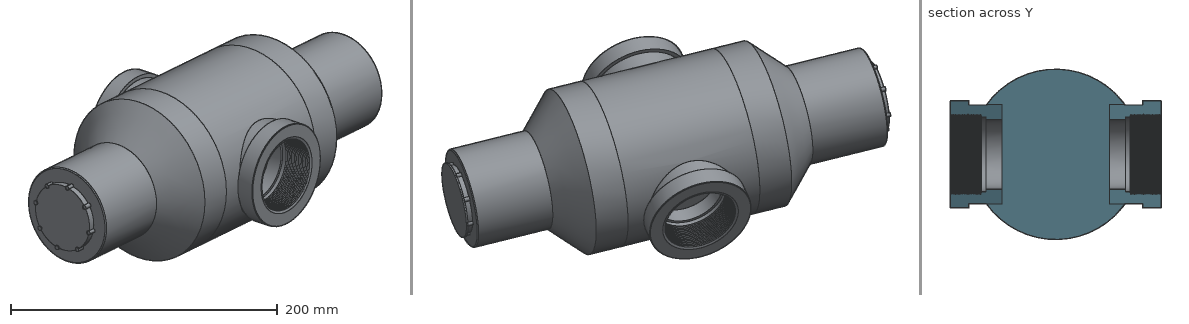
import cadquery as cq
total_length = 336.8
port_span = 158.5

barrel_diameter = 128.0
barrel_length = 104.5

collar_length = 25.3
cone_length = 25.5
neck_diameter = 76.0
neck_end_chamfer = 0.85
plug_height = 5.7

plug_diameter = 52.5
lug_diameter = 3.5
core_setback = 0.7
lug_count = 8
front_lug_turn = 11.0
rim_diameter = 57.5
rim_thickness = 1.5

port_diameter = 74.5
flange_diameter = 80.5
flange_length = 14.0
flange_chamfer = 0.5
port_bore_diameter = 52.2
thread_minor_diameter = 56.0
thread_major_diameter = 60.0
thread_pitch = 1.5
thread_count = 17
thread_runout = 4.0
port_seat = 40.5

barrel_end = barrel_length / 2
cone_start = barrel_end + collar_length
neck_start = cone_start + cone_length
neck_end = total_length / 2 - plug_height
port_end = port_span / 2
flange_start = port_end - flange_length

SIDES = (-1, 1)


def cylinder_y(diameter, start, end):
    """Cylinder on the Y axis between two places."""
    return cq.Workplane("XZ", origin=(0, start, 0)).circle(diameter / 2).extrude(start - end)


def cylinder_x(diameter, start, end):
    """Cylinder on the X axis between two places."""
    return cq.Workplane("YZ", origin=(start, 0, 0)).circle(diameter / 2).extrude(end - start)


def make_barrel():
    """Central cylinder with a flat-bottomed seat for each side port."""
    barrel = cylinder_y(barrel_diameter, -barrel_end, barrel_end)
    for side in SIDES:
        barrel = barrel.cut(cylinder_x(port_diameter, side * port_seat, side * port_end))
    return barrel


def make_reducer(side):
    """Collar, cone and neck turned about the Y axis, on one end of the barrel."""
    barrel_radius = barrel_diameter / 2
    neck_radius = neck_diameter / 2
    profile = [
        (0, barrel_end),
        (barrel_radius, barrel_end),
        (barrel_radius, cone_start),
        (neck_radius, neck_start),
        (neck_radius, neck_end - neck_end_chamfer),
        (neck_radius - neck_end_chamfer, neck_end),
        (0, neck_end),
    ]
    points = [(radius, side * place) for radius, place in profile]
    return cq.Workplane("XY").polyline(points).close().revolve(360, (0, 0, 0), (0, 1, 0))


def make_plug(side, lug_turn):
    """Round plug on the end of a neck, with round lugs set halfway into its rim."""
    plug_end = side * total_length / 2
    core_end = plug_end - side * core_setback
    plug = cylinder_y(plug_diameter, side * neck_end, core_end)
    lug = cylinder_y(lug_diameter, side * neck_end, plug_end).translate((plug_diameter / 2, 0, 0))
    for index in range(lug_count):
        angle = lug_turn + index * 360 / lug_count
        plug = plug.union(lug.rotate((0, 0, 0), (0, 1, 0), angle))
    return plug


def make_back_plug():
    """Plug of the +Y end, which carries a thin rim over its lugs."""
    back_end = total_length / 2
    return make_plug(1, 0).union(cylinder_y(rim_diameter, back_end - rim_thickness, back_end))


def make_port(side):
    """Flanged tube seated in the barrel, with ring-shaped thread grooves in its mouth."""
    bore_radius = port_bore_diameter / 2
    minor_radius = thread_minor_diameter / 2
    major_radius = thread_major_diameter / 2
    thread_bottom = port_end - thread_count * thread_pitch
    profile = [
        (port_seat, bore_radius),
        (port_seat, port_diameter / 2),
        (flange_start, port_diameter / 2),
        (flange_start, flange_diameter / 2),
        (port_end - flange_chamfer, flange_diameter / 2),
        (port_end, flange_diameter / 2 - flange_chamfer),
        (port_end, major_radius),
    ]
    for index in range(thread_count):
        groove = port_end - index * thread_pitch
        profile.append((groove - thread_pitch / 2, minor_radius))
        profile.append((groove - thread_pitch, major_radius))
    profile.append((thread_bottom - thread_pitch / 2, minor_radius))
    profile.append((thread_bottom - thread_runout, minor_radius))
    profile.append((thread_bottom - thread_runout, bore_radius))
    points = [(side * place, radius) for place, radius in profile]
    return cq.Workplane("XY").polyline(points).close().revolve(360, (0, 0, 0), (1, 0, 0))


barrel = make_barrel()
reducers = [make_reducer(side) for side in SIDES]
ports = [make_port(side) for side in SIDES]
front_plug = make_plug(-1, front_lug_turn)
back_plug = make_back_plug()

result = cq.Compound.makeCompound(
    [
        barrel.val(),
        *[reducer.val() for reducer in reducers],
        *[port.val() for port in ports],
        front_plug.val(),
        back_plug.val(),
    ]
)